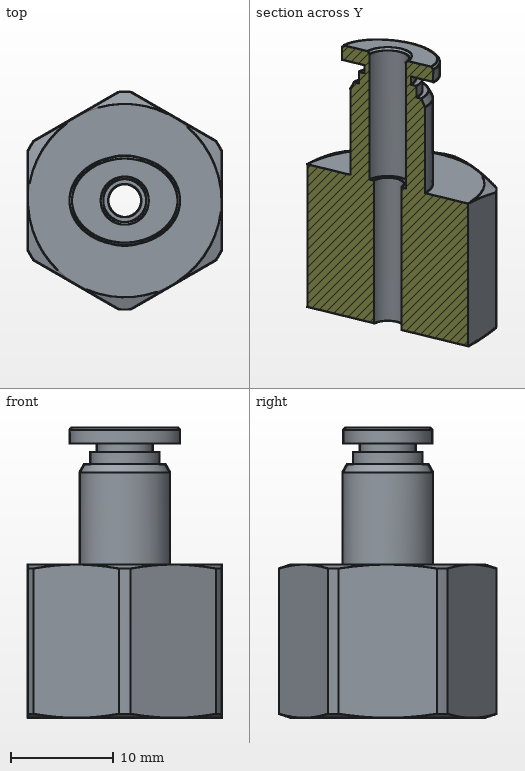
import cadquery as cq
import math

hex_sides = 6
hex_across_flats = 19.0
hex_across_corners = 21.3
hex_height = 15.0
hex_face_diameter = 18.9
hex_chamfer_angle = 18.5

sleeve_diameter = 8.85
sleeve_top = 24.8
sleeve_chamfer_height = 0.8
sleeve_chamfer_width = 0.45

collar_diameter = 6.8
collar_top = 26.0
neck_diameter = 5.5
head_bottom = 26.8
head_top = 28.4
head_length = 10.8
head_width = 8.7
head_chamfer = 0.25

tube_bore_diameter = 4.2
tube_bore_bottom = hex_height
tube_mouth_chamfer = 0.25
through_bore_diameter = 3.2


def cylinder(diameter, bottom, top):
    """Upright cylinder on the Z axis between two heights."""
    return cq.Workplane("XY").workplane(offset=bottom).circle(diameter / 2).extrude(top - bottom)


def make_hexagon():
    """Hexagonal prism with trimmed corners and a shallow cone turned on both ends."""
    half_side_angle = 180 / hex_sides
    corner_diameter = hex_across_flats / math.cos(math.radians(half_side_angle))
    prism = (
        cq.Workplane("XY")
        .polygon(hex_sides, corner_diameter)
        .extrude(hex_height)
        .rotate((0, 0, 0), (0, 0, 1), half_side_angle)
    )
    face_radius = hex_face_diameter / 2
    outer_radius = hex_across_corners / 2
    chamfer_height = (outer_radius - face_radius) * math.tan(math.radians(hex_chamfer_angle))
    turned_blank = (
        cq.Workplane("XZ")
        .moveTo(0, 0)
        .lineTo(face_radius, 0)
        .lineTo(outer_radius, chamfer_height)
        .lineTo(outer_radius, hex_height - chamfer_height)
        .lineTo(face_radius, hex_height)
        .lineTo(0, hex_height)
        .close()
        .revolve(360, (0, 0, 0), (0, 1, 0))
    )
    return prism.intersect(turned_blank)


def make_sleeve():
    """Round sleeve with a steep chamfer around its top edge."""
    sleeve = cylinder(sleeve_diameter, hex_height, sleeve_top)
    return sleeve.faces(">Z").edges().chamfer(sleeve_chamfer_height, sleeve_chamfer_width)


def make_button():
    """Collar and neck carrying the oval head."""
    collar = cylinder(collar_diameter, sleeve_top, collar_top)
    neck = cylinder(neck_diameter, collar_top, head_bottom)
    head = (
        cq.Workplane("XY")
        .workplane(offset=head_bottom)
        .ellipse(head_length / 2, head_width / 2)
        .extrude(head_top - head_bottom)
        .faces(">Z")
        .edges()
        .chamfer(head_chamfer)
    )
    return collar.union(neck).union(head)


def make_bores():
    """Tube socket with a chamfered mouth, and the smaller bore running right through."""
    through_bore = cylinder(through_bore_diameter, 0, head_top)
    tube_bore = cylinder(tube_bore_diameter, tube_bore_bottom, head_top)
    mouth = (
        cq.Workplane("XY")
        .workplane(offset=head_top)
        .circle(tube_bore_diameter / 2 + tube_mouth_chamfer)
        .workplane(offset=-tube_mouth_chamfer)
        .circle(tube_bore_diameter / 2)
        .loft()
    )
    return through_bore.union(tube_bore).union(mouth)


result = make_hexagon().union(make_sleeve()).union(make_button()).cut(make_bores())